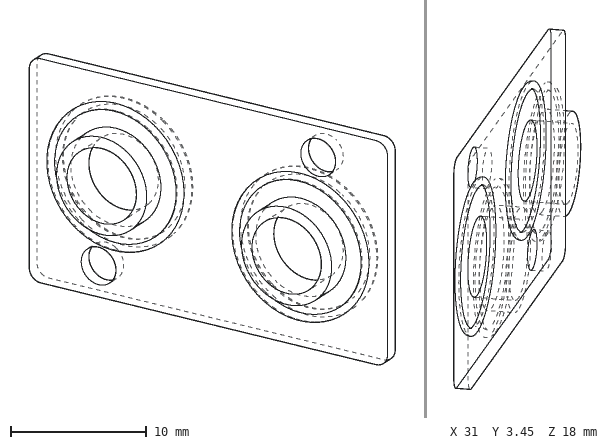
import cadquery as cq

plate_width = 31.0
plate_height = 18.0
plate_thickness = 1.1
corner_radius = 1.0

socket_centers = [(-8.0, 1.0), (8.0, -1.0)]
bore_diameter = 6.0
boss_diameter = 7.8
boss_height = 2.0

bead_mean_radius = 5.6
bead_crest_radius = 0.3
bead_wall_height = 0.05

locating_hole_centers = [(-9.5, -6.5), (9.5, 6.5)]
locating_hole_diameter = 3.0

cut_clearance = 1.0


def make_cylinder(center, diameter, y_start, y_end):
    """Cylinder along Y at an (x, z) center, from y_start to y_end."""
    x, z = center
    return cq.Workplane(
        cq.Solid.makeCylinder(
            diameter / 2,
            y_end - y_start,
            cq.Vector(x, y_start, z),
            cq.Vector(0, 1, 0),
        )
    )


def make_plate():
    """Rectangular plate with rounded corners."""
    return (
        cq.Workplane("XZ")
        .rect(plate_width, plate_height)
        .extrude(-plate_thickness)
        .edges("|Y")
        .fillet(corner_radius)
    )


def make_beads(center):
    """Bead on both plate faces: one obround section through the plate, revolved about the socket axis."""
    x, z = center
    inner = bead_mean_radius - bead_crest_radius
    outer = bead_mean_radius + bead_crest_radius
    front_wall_end = -bead_wall_height
    back_wall_end = plate_thickness + bead_wall_height
    return (
        cq.Workplane("XY", origin=(x, 0, z))
        .moveTo(inner, front_wall_end)
        .threePointArc((bead_mean_radius, front_wall_end - bead_crest_radius), (outer, front_wall_end))
        .lineTo(outer, back_wall_end)
        .threePointArc((bead_mean_radius, back_wall_end + bead_crest_radius), (inner, back_wall_end))
        .close()
        .revolve(360, (0, 0, 0), (0, 1, 0))
    )


def cut_through(body, center, diameter):
    """Round hole through the full depth of the body."""
    cutter = make_cylinder(
        center,
        diameter,
        -boss_height - cut_clearance,
        plate_thickness + cut_clearance,
    )
    return body.cut(cutter)


result = make_plate()

for socket_center in socket_centers:
    result = result.union(make_cylinder(socket_center, boss_diameter, -boss_height, plate_thickness))
    result = result.union(make_beads(socket_center))
    result = cut_through(result, socket_center, bore_diameter)

for hole_center in locating_hole_centers:
    result = cut_through(result, hole_center, locating_hole_diameter)